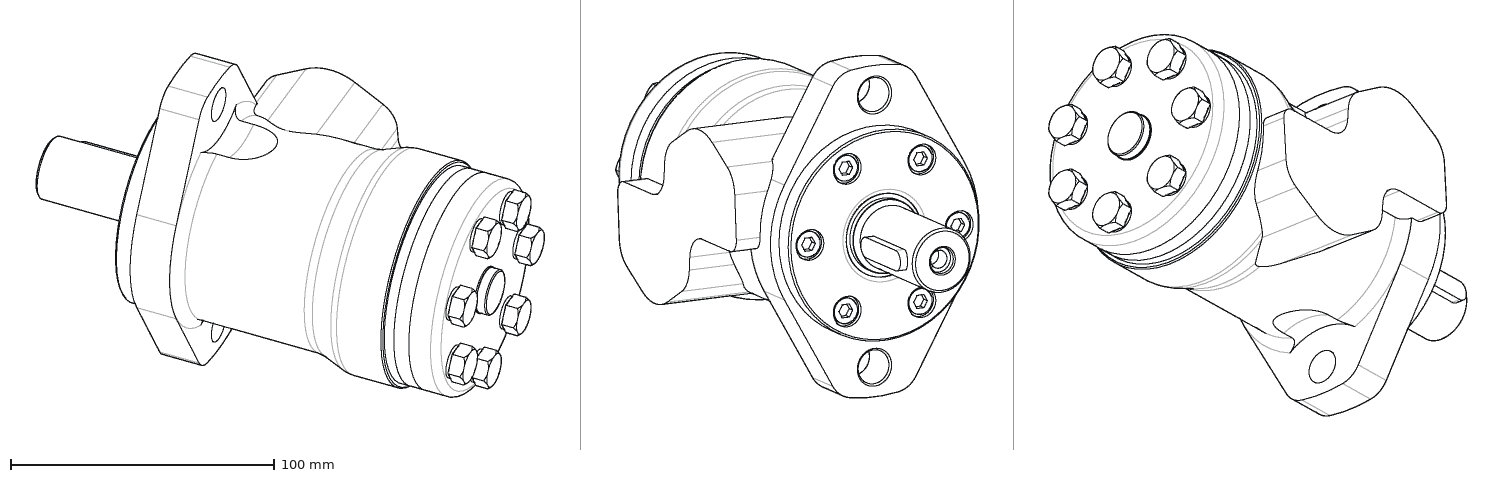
import cadquery as cq
import math


TOTAL_LENGTH = 189.4
SHAFT_SHOULDER_X = 42.8
COLLAR_X = 44.9
PILOT_FRONT_X = 46.4
FLANGE_FRONT_X = 54.5
FLANGE_BACK_X = 71.0
BELL_START_X = 127.0
BELL_END_X = 139.4
HOUSING_END_X = 159.9
PLATE_END_X = 163.8
GEAR_RING_END_X = 170.0
END_CAP_END_X = 182.2

SHAFT_D = 25.0
SHAFT_CHAMFER = 1.0
SHOULDER_D = 28.6
COLLAR_D = 29.0
CENTRE_SINK_D = 11.2
CENTRE_BORE_D = 10.0
CENTRE_BORE_DEPTH = 2.8
CENTRE_DRILL_D = 7.0
CENTRE_DRILL_DEPTH = 9.5
KEY_START_X = 4.7
KEY_LENGTH = 31.8
KEY_WIDTH = 8.0
KEY_BOTTOM_Y = 8.3
KEY_TOP_Y = 15.5

PILOT_D = 82.4
PILOT_CHAMFER = 0.8
SEAL_RECESS_D = 32.5
SEAL_SINK_D = 36
SEAL_RECESS_DEPTH = 1.0
SEAL_SINK_DEPTH = 0.4
PILOT_SCREW_COUNT = 6
SCREW_CIRCLE_R = 32.2
SCREW_RECESS_D = 12.0
SCREW_RECESS_DEPTH = 1.9
SCREW_HEAD_D = 10.0
SCREW_HEAD_HEIGHT = 0.8
SOCKET_FLATS = 5.1
SOCKET_DEPTH = 2.8

FLANGE_SIDE_R = 44.9
FLANGE_HEIGHT = 129.7
FLANGE_TIP_R = FLANGE_HEIGHT / 2
FLANGE_CORNER_R = 11.0
FLANGE_EDGE_ANGLE = 30
MOUNT_HOLE_Z = 53.2
MOUNT_HOLE_D = 13.3
MOUNT_HOLE_CHAMFER = 0.8
HEAD_CLEARANCE_R = 27.5
HEAD_CLEARANCE_Z = 63.8
HEAD_CLEARANCE_X = 80.5

BARREL_R = 40.3
BARREL_FILLET = 4.4
BELL_R = FLANGE_SIDE_R
BELL_INNER_FILLET = 10.6
BELL_OUTER_FILLET = 7.5
HOUSING_END_CHAMFER = 0.5

BLOCK_TOP_Y = 55.1
BLOCK_CENTRE_X = 110.6

STACK_D = 86.0
CAP_FILLET = 3.0
BOLT_COUNT = 7
BOLT_CIRCLE_R = SCREW_CIRCLE_R
BOLT_FLATS = 13.3
BOLT_NECK_D = 13.0
BOLT_HEAD_X = 183.5
BOLT_CHAMFER = 1.0
PLUG_RIM_D = 18.5
PLUG_RIM_HEIGHT = 0.5
PLUG_D = 18.0
PLUG_FACE_D = 17
PLUG_END_X = 186.7


def cylinder(x_start, x_end, diameter, y=0, z=0):
    """Cylinder parallel to X."""
    disc = cq.Workplane("YZ", origin=(x_start, y, z)).circle(diameter / 2)
    return disc.extrude(x_end - x_start)


def cone(x_start, x_end, start_d, end_d, y=0, z=0):
    """Cone frustum parallel to X; an end diameter of zero gives a point."""
    axis = cq.Vector(1, 0, 0)
    start = cq.Vector(x_start, y, z)
    return cq.Workplane(cq.Solid.makeCone(start_d / 2, end_d / 2, x_end - x_start, start, axis))


def across_corners(flats):
    """Diameter over the corners of a hexagon with the given width across flats."""
    return flats / math.cos(math.pi / 6)


def hexagon(x_start, x_end, flats, y=0, z=0):
    """Hexagonal prism parallel to X, with corners toward +Y and -Y."""
    outline = cq.Workplane("YZ", origin=(x_start, y, z)).polygon(6, across_corners(flats))
    return outline.extrude(x_end - x_start)


def circle_points(count, radius):
    """Evenly spaced (Y, Z) points around the axis, the first on +Y."""
    angles = [2 * math.pi * i / count for i in range(count)]
    return [(radius * math.cos(a), radius * math.sin(a)) for a in angles]


def make_key():
    """Parallel key with round ends."""
    middle_x = KEY_START_X + KEY_LENGTH / 2
    profile = cq.Workplane("XZ", origin=(middle_x, KEY_BOTTOM_Y, 0)).slot2D(KEY_LENGTH, KEY_WIDTH)
    return profile.extrude(KEY_BOTTOM_Y - KEY_TOP_Y)


def make_shaft():
    """Output shaft with a seal collar, a stepped centre hole and a fitted keyway."""
    shaft = cylinder(0, FLANGE_BACK_X, SHAFT_D).faces("<X").chamfer(SHAFT_CHAMFER)
    shaft = shaft.union(cone(SHAFT_SHOULDER_X, COLLAR_X, SHAFT_D, SHOULDER_D))
    shaft = shaft.union(cylinder(COLLAR_X, FLANGE_BACK_X, COLLAR_D))
    sink_depth = (CENTRE_SINK_D - CENTRE_BORE_D) / 2
    drill_tip_x = CENTRE_DRILL_DEPTH + CENTRE_DRILL_D / 2
    shaft = shaft.cut(cone(0, sink_depth, CENTRE_SINK_D, CENTRE_BORE_D))
    shaft = shaft.cut(cylinder(0, CENTRE_BORE_DEPTH, CENTRE_BORE_D))
    shaft = shaft.cut(cylinder(0, CENTRE_DRILL_DEPTH, CENTRE_DRILL_D))
    shaft = shaft.cut(cone(CENTRE_DRILL_DEPTH, drill_tip_x, CENTRE_DRILL_D, 0))
    return shaft.cut(make_key())


def flange_plate():
    """Rhombic plate: round sides, straight edges tangent to them, and rounded tips."""
    edge_angle = math.radians(FLANGE_EDGE_ANGLE)
    tangent_y = FLANGE_SIDE_R * math.cos(edge_angle)
    tangent_z = FLANGE_SIDE_R * math.sin(edge_angle)
    tip_angle = edge_angle + math.acos(FLANGE_SIDE_R / FLANGE_TIP_R)
    tip_y = FLANGE_TIP_R * math.cos(tip_angle)
    tip_z = FLANGE_TIP_R * math.sin(tip_angle)
    outline = (
        cq.Workplane("YZ", origin=(FLANGE_FRONT_X, 0, 0))
        .moveTo(tangent_y, -tangent_z)
        .threePointArc((FLANGE_SIDE_R, 0), (tangent_y, tangent_z))
        .lineTo(tip_y, tip_z)
        .threePointArc((0, FLANGE_TIP_R), (-tip_y, tip_z))
        .lineTo(-tangent_y, tangent_z)
        .threePointArc((-FLANGE_SIDE_R, 0), (-tangent_y, -tangent_z))
        .lineTo(-tip_y, -tip_z)
        .threePointArc((0, -FLANGE_TIP_R), (tip_y, -tip_z))
        .close()
    )
    plate = outline.extrude(FLANGE_BACK_X - FLANGE_FRONT_X)
    tip_corners = plate.edges("|X").filter(lambda edge: abs(edge.Center().z) > FLANGE_SIDE_R)
    return tip_corners.fillet(FLANGE_CORNER_R)


def barrel():
    """Turned body: a flared root at the flange, a plain middle and a wider rear bell."""
    root_x = FLANGE_BACK_X + BARREL_FILLET
    root_r = BARREL_R + BARREL_FILLET
    arc_leg = BARREL_FILLET * (1 - math.sqrt(0.5))
    profile = (
        cq.Workplane("XY")
        .moveTo(FLANGE_FRONT_X, 0)
        .lineTo(FLANGE_FRONT_X, root_r)
        .lineTo(FLANGE_BACK_X, root_r)
        .threePointArc((FLANGE_BACK_X + arc_leg, BARREL_R + arc_leg), (root_x, BARREL_R))
        .lineTo(BELL_START_X, BARREL_R)
        .lineTo(BELL_END_X, BELL_R)
        .lineTo(HOUSING_END_X, BELL_R)
        .lineTo(HOUSING_END_X, 0)
        .close()
    )
    body = profile.revolve(360, (0, 0, 0), (1, 0, 0))
    body = body.edges(cq.selectors.NearestToPointSelector((BELL_START_X, 0, 0))).fillet(BELL_INNER_FILLET)
    body = body.edges(cq.selectors.NearestToPointSelector((BELL_END_X, 0, 0))).fillet(BELL_OUTER_FILLET)
    return body.faces(">X").chamfer(HOUSING_END_CHAMFER)


def port_block():
    """Block whose outline repeats after half a turn about its own centre line."""
    half_outline = [
        (-46.0, 24.8, 12.1),
        (-18.0, 41.0, 20.5),
        (9.5, 25.2, 12.1),
        (11.0, 4.5, 9.8),
        (48.1, 4.5, 5.1),
    ]
    corners = half_outline + [(-x, -z, r) for x, z, r in half_outline]
    points = [(BLOCK_CENTRE_X + x, z) for x, z, _ in corners]
    block = cq.Workplane("XZ").polyline(points).close().extrude(-BLOCK_TOP_Y)
    for x, z, radius in corners:
        corner = cq.selectors.NearestToPointSelector((BLOCK_CENTRE_X + x, BLOCK_TOP_Y / 2, z))
        block = block.edges("|Y").edges(corner).fillet(radius)
    return block


def front_pilot():
    """Pilot disc with a seal recess and six sunk socket screws."""
    pilot = cylinder(PILOT_FRONT_X, FLANGE_FRONT_X, PILOT_D).faces("<X").chamfer(PILOT_CHAMFER)
    pilot = pilot.cut(cylinder(PILOT_FRONT_X, FLANGE_FRONT_X, COLLAR_D))
    recess_end_x = PILOT_FRONT_X + SEAL_RECESS_DEPTH
    sink_end_x = PILOT_FRONT_X + SEAL_SINK_DEPTH
    pilot = pilot.cut(cylinder(PILOT_FRONT_X, recess_end_x, SEAL_RECESS_D))
    pilot = pilot.cut(cone(PILOT_FRONT_X, sink_end_x, SEAL_SINK_D, SEAL_RECESS_D))
    floor_x = PILOT_FRONT_X + SCREW_RECESS_DEPTH
    head_x = floor_x - SCREW_HEAD_HEIGHT
    for y, z in circle_points(PILOT_SCREW_COUNT, SCREW_CIRCLE_R):
        pilot = pilot.cut(cylinder(PILOT_FRONT_X, floor_x, SCREW_RECESS_D, y, z))
        pilot = pilot.union(cylinder(head_x, floor_x, SCREW_HEAD_D, y, z))
        pilot = pilot.cut(hexagon(head_x, head_x + SOCKET_DEPTH, SOCKET_FLATS, y, z))
    return pilot


def head_clearance(z):
    """Round-bottomed trough with a ball end, cut behind the flange for a mounting bolt head."""
    trough = cylinder(FLANGE_BACK_X, HEAD_CLEARANCE_X, 2 * HEAD_CLEARANCE_R, 0, z)
    ball = cq.Workplane("XY", origin=(HEAD_CLEARANCE_X, 0, z)).sphere(HEAD_CLEARANCE_R)
    rear_side = cylinder(FLANGE_BACK_X, HOUSING_END_X, 2 * HEAD_CLEARANCE_R, 0, z)
    return trough.union(ball.intersect(rear_side))


def mount_hole(z):
    """Through hole in the flange, chamfered at the front."""
    sink_d = MOUNT_HOLE_D + 2 * MOUNT_HOLE_CHAMFER
    sink_end_x = FLANGE_FRONT_X + MOUNT_HOLE_CHAMFER
    hole = cylinder(FLANGE_FRONT_X, FLANGE_BACK_X, MOUNT_HOLE_D, 0, z)
    return hole.union(cone(FLANGE_FRONT_X, sink_end_x, sink_d, MOUNT_HOLE_D, 0, z))


def make_housing():
    """Flange, barrel, port block and front pilot in one piece, bored for the shaft."""
    housing = flange_plate().union(barrel()).union(port_block())
    for side in (1, -1):
        housing = housing.cut(head_clearance(side * HEAD_CLEARANCE_Z))
        housing = housing.cut(mount_hole(side * MOUNT_HOLE_Z))
    housing = housing.cut(cylinder(FLANGE_FRONT_X, FLANGE_BACK_X, COLLAR_D))
    return housing.union(front_pilot())


def cap_bolt(y, z):
    """Hexagon bolt head on a round neck, with its outer corners turned off."""
    head = hexagon(BOLT_HEAD_X, TOTAL_LENGTH, BOLT_FLATS, y, z)
    corners_d = across_corners(BOLT_FLATS)
    blank = cylinder(BOLT_HEAD_X, TOTAL_LENGTH, corners_d, y, z).faces(">X").chamfer(BOLT_CHAMFER)
    return head.intersect(blank).union(cylinder(END_CAP_END_X, BOLT_HEAD_X, BOLT_NECK_D, y, z))


def make_end_cap():
    """Rear cap with its ring of bolts and the central plug."""
    cap = cylinder(GEAR_RING_END_X, END_CAP_END_X, STACK_D).faces(">X").edges().fillet(CAP_FILLET)
    plug = cylinder(END_CAP_END_X, PLUG_END_X, PLUG_D)
    plug = plug.faces(">X").chamfer((PLUG_D - PLUG_FACE_D) / 2)
    cap = cap.union(plug)
    cap = cap.union(cylinder(END_CAP_END_X, END_CAP_END_X + PLUG_RIM_HEIGHT, PLUG_RIM_D))
    for y, z in circle_points(BOLT_COUNT, BOLT_CIRCLE_R):
        cap = cap.union(cap_bolt(y, z))
    return cap


shaft = make_shaft()
key = make_key()
housing = make_housing()
distributor_plate = cylinder(HOUSING_END_X, PLATE_END_X, STACK_D)
gear_ring = cylinder(PLATE_END_X, GEAR_RING_END_X, STACK_D)
end_cap = make_end_cap()

bodies = [shaft, key, housing, distributor_plate, gear_ring, end_cap]
result = cq.Compound.makeCompound([body.val() for body in bodies])